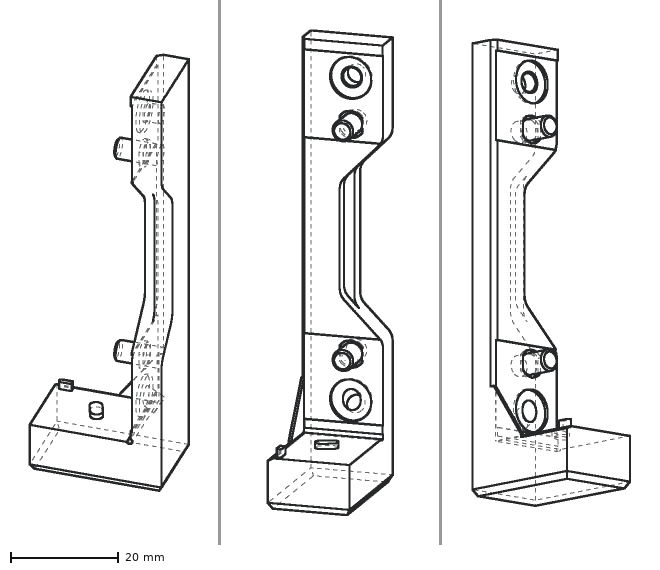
import cadquery as cq
import math

LENGTH_X = 26.0
WIDTH_Y = 16.1
HEIGHT_Z = 86.0
FOOT_HEIGHT = 10.0
PLATE_THICKNESS = 6.1
PLATE_FRONT_X = LENGTH_X - PLATE_THICKNESS

WAIST_CENTER_Z = 47.9
WAIST_HALF_HEIGHT = 19.35
WAIST_BACK_DEPTH = 6.4
WAIST_FRONT_DEPTH = 8.4
WAIST_STEP_X = 22.45
WAIST_FILLET = 3.0

PAD_DEPTH = 0.3
PAD_FACE_X = PLATE_FRONT_X + PAD_DEPTH
PAD_RANGES_Z = ((12.4, 29.0), (66.9, 83.9))

RELIEF_RADIUS = 0.56
RELIEF_OFFSET = 0.215

FOOT_BEVEL_HEIGHT = 1.3
FOOT_BEVEL_INSET = FOOT_BEVEL_HEIGHT * math.tan(math.radians(30))
FOOT_EDGE_BEVEL_WIDTH = 1.0
FOOT_EDGE_BEVEL_DEPTH = 0.56
PLATE_EDGE_BEVEL_WIDTH = 0.8
PLATE_EDGE_BEVEL_DEPTH = 1.1

GUSSET_THICKNESS = 0.5
GUSSET_TOP_Z = 20.2
GUSSET_FOOT_X = 12.55

FEATURE_Y = 6.4
LOWER_PIN_Z = 25.6
PIN_SPACING = 44.5
PIN_HEIGHTS = (LOWER_PIN_Z, LOWER_PIN_Z + PIN_SPACING)
LOWER_HOLE_Z = 16.7
HOLE_SPACING = 62.4
UPPER_HOLE_Z = LOWER_HOLE_Z + HOLE_SPACING

HOLE_DIAMETER = 3.5
HOLE_DEPTH = 3.0
UPPER_HOLE_CHAMFER = 0.3
LOWER_HOLE_TILT = 30.0
COUNTERBORE_DIAMETER = 8.1
COUNTERBORE_DEPTH = 0.7

PIN_DIAMETER = 4.0
PIN_LENGTH = 8.6
PIN_TIP_X = 15.05
PIN_CHAMFER = 0.4
PIN_RECESS_DIAMETER = 5.25
PIN_RECESS_WIDTH = 4.5
PIN_RECESS_DEPTH = 0.8

SLANTED_KEY_CENTER = (10.5, 7.9)
SLANTED_KEY_LENGTH = 4.4
SLANTED_KEY_WIDTH = 2.4
SLANTED_KEY_ANGLE = 112.0
SLANTED_KEY_HEIGHT = 1.0
EDGE_KEY_CENTER = (2.3, 14.3)
EDGE_KEY_SIZE = (2.6, 1.0)
EDGE_KEY_HEIGHT = 1.55
EDGE_KEY_FILLET = 0.47


def box_between(low, high):
    size = [b - a for a, b in zip(low, high)]
    return cq.Workplane("XY").box(*size, centered=False).translate(low)


def rod_along_x(diameter, start_x, length, z):
    """Cylinder on the shared centre line, running from start_x toward +X."""
    return (
        cq.Workplane("YZ", origin=(start_x, FEATURE_Y, z))
        .circle(diameter / 2)
        .extrude(length)
    )


def waist_cut(depth, start_x, end_x):
    """Trapezoid with 45 degree ends, cut in from the -Y side."""
    z_low = WAIST_CENTER_Z - WAIST_HALF_HEIGHT
    z_high = WAIST_CENTER_Z + WAIST_HALF_HEIGHT
    cut = (
        cq.Workplane("YZ", origin=(start_x, 0, 0))
        .polyline([(0, z_low), (depth, z_low + depth), (depth, z_high - depth), (0, z_high)])
        .close()
        .extrude(end_x - start_x)
    )
    return cut.edges("|X and >Y").fillet(WAIST_FILLET)


def l_body():
    outline = (
        cq.Workplane("XZ")
        .moveTo(0, 0)
        .lineTo(LENGTH_X, 0)
        .lineTo(LENGTH_X, HEIGHT_Z)
        .lineTo(PLATE_FRONT_X, HEIGHT_Z)
        .lineTo(PLATE_FRONT_X, FOOT_HEIGHT)
        .lineTo(0, FOOT_HEIGHT)
        .close()
    )
    return outline.extrude(-WIDTH_Y)


def cut_waist(body):
    body = body.cut(waist_cut(WAIST_BACK_DEPTH, PLATE_FRONT_X, LENGTH_X))
    for side in (-1, 1):
        corner = ((PLATE_FRONT_X + LENGTH_X) / 2, 0, WAIST_CENTER_Z + side * WAIST_HALF_HEIGHT)
        body = body.edges(cq.selectors.NearestToPointSelector(corner)).fillet(WAIST_FILLET)
    return body.cut(waist_cut(WAIST_FRONT_DEPTH, PLATE_FRONT_X, WAIST_STEP_X))


def cut_pads(body):
    for z_low, z_high in PAD_RANGES_Z:
        body = body.cut(box_between((PLATE_FRONT_X, 0, z_low), (PAD_FACE_X, WIDTH_Y, z_high)))
    return body


def cut_corner_relief(body):
    groove = (
        cq.Workplane("XZ", origin=(PLATE_FRONT_X - RELIEF_OFFSET, 0, FOOT_HEIGHT + RELIEF_OFFSET))
        .circle(RELIEF_RADIUS)
        .extrude(-WIDTH_Y)
    )
    return body.cut(groove)


def cut_inner_edge_bevels(body):
    """Bevel the +Y edges of the foot top and of the plate front."""
    foot_bevel = (
        cq.Workplane("YZ")
        .polyline([
            (WIDTH_Y - FOOT_EDGE_BEVEL_WIDTH, FOOT_HEIGHT),
            (WIDTH_Y, FOOT_HEIGHT),
            (WIDTH_Y, FOOT_HEIGHT - FOOT_EDGE_BEVEL_DEPTH),
        ])
        .close()
        .extrude(PLATE_FRONT_X)
    )
    plate_bevel = (
        cq.Workplane("XY", origin=(0, 0, FOOT_HEIGHT))
        .polyline([
            (PLATE_FRONT_X, WIDTH_Y - PLATE_EDGE_BEVEL_WIDTH),
            (PLATE_FRONT_X, WIDTH_Y),
            (PLATE_FRONT_X + PLATE_EDGE_BEVEL_DEPTH, WIDTH_Y),
        ])
        .close()
        .extrude(HEIGHT_Z - FOOT_HEIGHT)
    )
    return body.cut(foot_bevel).cut(plate_bevel)


def cut_foot_bevels(body):
    """Bevel the four bottom edges by keeping what lies inside a flared envelope."""
    envelope = (
        cq.Workplane("XY")
        .rect(LENGTH_X - 2 * FOOT_BEVEL_INSET, WIDTH_Y - 2 * FOOT_BEVEL_INSET)
        .workplane(offset=FOOT_BEVEL_HEIGHT)
        .rect(LENGTH_X, WIDTH_Y)
        .loft(ruled=True)
        .translate((LENGTH_X / 2, WIDTH_Y / 2, 0))
    )
    upper = box_between((0, 0, FOOT_BEVEL_HEIGHT), (LENGTH_X, WIDTH_Y, HEIGHT_Z))
    return body.intersect(envelope.union(upper))


def gusset():
    """Thin triangle, carried down and back far enough to merge with the bevelled edges."""
    base_z = FOOT_HEIGHT - FOOT_EDGE_BEVEL_DEPTH
    back_x = PLATE_FRONT_X + PLATE_EDGE_BEVEL_DEPTH
    return (
        cq.Workplane("XZ", origin=(0, WIDTH_Y, 0))
        .polyline([
            (GUSSET_FOOT_X, base_z),
            (GUSSET_FOOT_X, FOOT_HEIGHT),
            (PAD_FACE_X, GUSSET_TOP_Z),
            (back_x, GUSSET_TOP_Z),
            (back_x, base_z),
        ])
        .close()
        .extrude(GUSSET_THICKNESS)
    )


def cut_holes(body):
    """Counterbored blind holes: the upper straight and chamfered, the lower slanting downward."""
    for z in (LOWER_HOLE_Z, UPPER_HOLE_Z):
        body = body.cut(rod_along_x(COUNTERBORE_DIAMETER, PAD_FACE_X, COUNTERBORE_DEPTH, z))
    floor_x = PAD_FACE_X + COUNTERBORE_DEPTH
    straight = rod_along_x(HOLE_DIAMETER, floor_x, HOLE_DEPTH, UPPER_HOLE_Z)
    mouth = (
        cq.Workplane("YZ", origin=(floor_x, FEATURE_Y, UPPER_HOLE_Z))
        .circle(HOLE_DIAMETER / 2 + UPPER_HOLE_CHAMFER)
        .workplane(offset=UPPER_HOLE_CHAMFER)
        .circle(HOLE_DIAMETER / 2)
        .loft(ruled=True)
    )
    entry_margin = HOLE_DIAMETER
    slanted = rod_along_x(
        HOLE_DIAMETER, floor_x - entry_margin, entry_margin + HOLE_DEPTH, LOWER_HOLE_Z
    ).rotate((floor_x, 0, LOWER_HOLE_Z), (floor_x, 1, LOWER_HOLE_Z), LOWER_HOLE_TILT)
    return body.cut(straight).cut(mouth).cut(slanted)


def cut_pin_sockets(body):
    """A flat-sided shallow recess around each pin and a blind bore that the pin fills."""
    for z in PIN_HEIGHTS:
        recess = rod_along_x(PIN_RECESS_DIAMETER, PAD_FACE_X, PIN_RECESS_DEPTH, z)
        half_width = PIN_RECESS_WIDTH / 2
        flats = box_between(
            (PAD_FACE_X, FEATURE_Y - half_width, z - PIN_RECESS_DIAMETER),
            (LENGTH_X, FEATURE_Y + half_width, z + PIN_RECESS_DIAMETER),
        )
        body = body.cut(recess.intersect(flats))
        body = body.cut(rod_along_x(PIN_DIAMETER, PIN_TIP_X, PIN_LENGTH, z))
    return body


def foot_keys():
    top = cq.Workplane("XY", origin=(0, 0, FOOT_HEIGHT))
    slanted = (
        top.center(*SLANTED_KEY_CENTER)
        .slot2D(SLANTED_KEY_LENGTH, SLANTED_KEY_WIDTH, SLANTED_KEY_ANGLE)
        .extrude(SLANTED_KEY_HEIGHT)
    )
    edge = top.center(*EDGE_KEY_CENTER).rect(*EDGE_KEY_SIZE).extrude(EDGE_KEY_HEIGHT)
    return slanted, edge.edges("|Z and <X").fillet(EDGE_KEY_FILLET)


def make_bracket():
    body = cut_waist(l_body())
    body = cut_pads(body)
    body = cut_corner_relief(body)
    body = cut_inner_edge_bevels(body)
    body = cut_foot_bevels(body)
    body = body.union(gusset())
    body = cut_holes(body)
    body = cut_pin_sockets(body)
    for key in foot_keys():
        body = body.union(key)
    return body


def make_pin(z):
    return rod_along_x(PIN_DIAMETER, PIN_TIP_X, PIN_LENGTH, z).faces("<X").chamfer(PIN_CHAMFER)


bracket = make_bracket()
pins = [make_pin(z) for z in PIN_HEIGHTS]

result = cq.Compound.makeCompound([bracket.val(), *(pin.val() for pin in pins)])